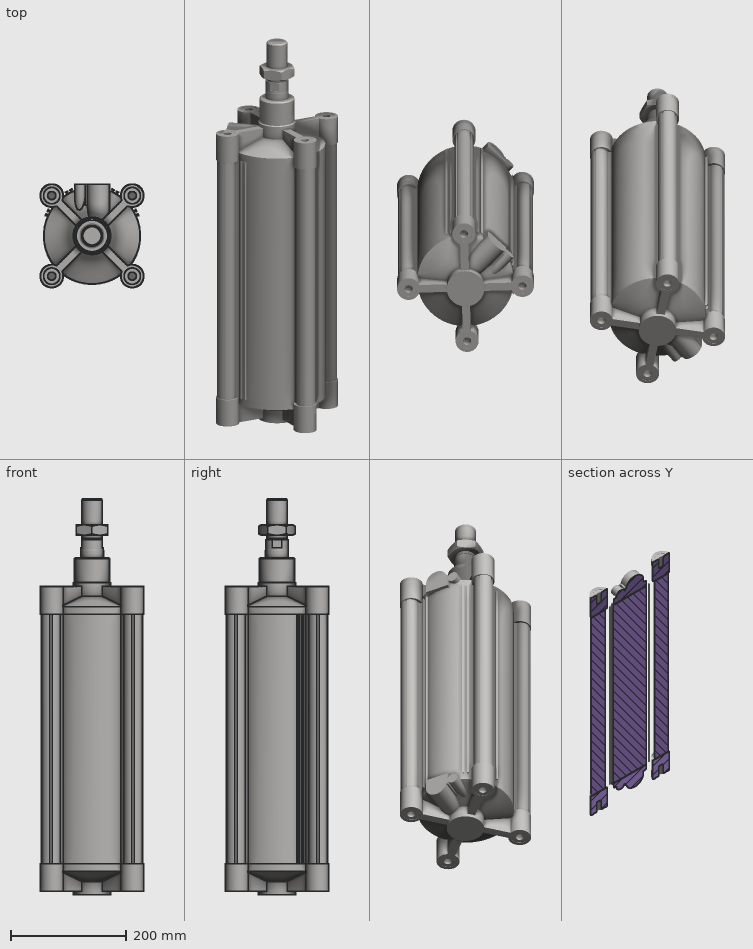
import cadquery as cq
import math


total_length = 688.0
cap_height = 48.0
rear_collar_height = 6.0
barrel_bottom = rear_collar_height + cap_height
barrel_length = 434.0
barrel_top = barrel_bottom + barrel_length

overall_width = 180.0
post_diameter = 40.0
post_offset = (overall_width - post_diameter) / 2
body_diameter = 168.0
collar_diameter = 65.0
rim_height = 13.0
cone_height = 18.0
rib_width = 14.0
post_recess_diameter = 28.5
post_recess_depth = 0.5
post_hole_diameter = 14.0
post_hole_depth = 24.0
front_collar_height = 6.0
collar_step = 1.5
neck_diameter = 61.0
neck_top = 586.0
neck_chamfer = 2.0

port_diameter = 39.5
port_x = 11.0
screw_boss_diameter = 19.0
screw_boss_x = -20.8
screw_boss_height = 15.5
block_right = 31.0
block_height = 23.4
boss_end = overall_width / 2

barrel_post_diameter = 33.0
barrel_post_offset = 71.5
barrel_web_width = 24.0
groove_width = 4.2
groove_depth = 1.5
rail_angles = [27.3, 62.7, 117.3, 152.7]
rail_radius = 88.5
rail_spacing = 8.4
rail_stem_width = 1.0
rail_head_width = 4.0
rail_head_thickness = 1.0

rod_diameter = 40.0
rod_land_diameter = 39.5
thread_diameter = 36.0
undercut_diameter = 32.5
rod_shoulder = 598.0
shoulder_chamfer = 2.0
land_top = 617.5
thread_bottom = 620.0
rod_tip_chamfer = 2.0
flat_width = 36.0
flat_bottom = 603.0
nut_bottom = 625.0
nut_height = 18.0
nut_width = 55.0
nut_chamfer_angle = 30.0
hex_half_angle = 30.0

corners = [(sx * post_offset, sy * post_offset) for sx in (-1, 1) for sy in (-1, 1)]
diagonal_angles = (45, 135)


def revolved(outline):
    """Solid of revolution about Z from (radius, height) points starting and ending on the axis."""
    return cq.Workplane("XZ").polyline(outline).close().revolve(360, (0, 0, 0), (0, 1, 0))


def y_boss(x, z, diameter):
    """Round boss from the cap axis plane out to the +Y side."""
    return cq.Workplane("XZ", origin=(x, 0, z)).circle(diameter / 2).extrude(-boss_end)


def cap_body(collar_outline):
    """Cap standing on the barrel joint at Z = 0 and facing +Z.

    The outline gives the (radius, height) points of the collar from the cone's top to the axis.
    """
    body_radius = body_diameter / 2
    collar_radius = collar_diameter / 2
    cone_top = rim_height + cone_height
    cap = revolved([
        (0, 0),
        (body_radius, 0),
        (body_radius, rim_height),
        (collar_radius, cone_top),
        *collar_outline,
    ])
    cap = cap.union(cq.Workplane().pushPoints(corners).circle(post_diameter / 2).extrude(cap_height))
    rib_length = 2 * post_offset * math.sqrt(2)
    for angle in diagonal_angles:
        rib = cq.Workplane().rect(rib_length, rib_width).extrude(cap_height)
        cap = cap.union(rib.rotate((0, 0, 0), (0, 0, 1), angle))

    cap = cap.union(y_boss(port_x, port_diameter / 2, port_diameter))
    cap = cap.union(y_boss(screw_boss_x, screw_boss_height, screw_boss_diameter))
    block_left = screw_boss_x + screw_boss_diameter / 2
    block = cq.Workplane().box(block_right - block_left, boss_end, block_height, centered=False)
    cap = cap.union(block.translate((block_left, 0, 0)))

    for diameter, depth in (
        (post_recess_diameter, post_recess_depth),
        (post_hole_diameter, post_hole_depth),
    ):
        hole = cq.Workplane(origin=(0, 0, cap_height - depth)).pushPoints(corners)
        cap = cap.cut(hole.circle(diameter / 2).extrude(depth))
    return cap


def make_rear_cap():
    collar_outline = [
        (collar_diameter / 2, barrel_bottom),
        (0, barrel_bottom),
    ]
    return cap_body(collar_outline).mirror("XY").translate((0, 0, barrel_bottom))


def make_front_cap():
    neck_radius = neck_diameter / 2
    collar_top = cap_height + front_collar_height
    neck_height = neck_top - barrel_top
    collar_outline = [
        (collar_diameter / 2, collar_top),
        (neck_radius, collar_top + collar_step),
        (neck_radius, neck_height - neck_chamfer),
        (neck_radius - neck_chamfer, neck_height),
        (0, neck_height),
    ]
    bore = cq.Workplane().circle(rod_diameter / 2).extrude(neck_height)
    return cap_body(collar_outline).cut(bore).translate((0, 0, barrel_top))


def sensor_rail(angle):
    """Pair of T-shaped strips along the barrel that form a sensor slot at the given angle about Z."""
    head_bottom = rail_radius - rail_head_thickness
    stem_length = head_bottom - barrel_post_offset
    strips = cq.Workplane().pushPoints([
        (head_bottom - stem_length / 2, -rail_spacing / 2),
        (head_bottom - stem_length / 2, rail_spacing / 2),
    ]).rect(stem_length, rail_stem_width).extrude(barrel_length)
    heads = cq.Workplane().pushPoints([
        (rail_radius - rail_head_thickness / 2, -rail_spacing / 2),
        (rail_radius - rail_head_thickness / 2, rail_spacing / 2),
    ]).rect(rail_head_thickness, rail_head_width).extrude(barrel_length)
    return strips.union(heads).rotate((0, 0, 0), (0, 0, 1), angle)


def make_barrel():
    barrel = cq.Workplane().circle(body_diameter / 2).extrude(barrel_length)
    web_length = 2 * math.sqrt(2) * barrel_post_offset
    for angle in diagonal_angles:
        web = cq.Workplane().rect(web_length, barrel_web_width).extrude(barrel_length)
        barrel = barrel.union(web.rotate((0, 0, 0), (0, 0, 1), angle))
    post_radius = barrel_post_diameter / 2
    near, far = barrel_post_offset, barrel_post_offset + post_radius
    for sx in (-1, 1):
        for sy in (-1, 1):
            post = cq.Workplane(origin=(sx * near, sy * near, 0)).circle(post_radius)
            barrel = barrel.union(post.extrude(barrel_length))
            x_groove = cq.Workplane(origin=(sx * far, sy * near, 0)).rect(2 * groove_depth, groove_width)
            y_groove = cq.Workplane(origin=(sx * near, sy * far, 0)).rect(groove_width, 2 * groove_depth)
            barrel = barrel.cut(x_groove.extrude(barrel_length))
            barrel = barrel.cut(y_groove.extrude(barrel_length))
    for angle in rail_angles:
        barrel = barrel.union(sensor_rail(angle))
    return barrel.translate((0, 0, barrel_bottom))


def make_rod():
    thread_radius = thread_diameter / 2
    rod = revolved([
        (0, barrel_top),
        (rod_diameter / 2, barrel_top),
        (rod_diameter / 2, rod_shoulder),
        (rod_land_diameter / 2, rod_shoulder + shoulder_chamfer),
        (rod_land_diameter / 2, land_top),
        (undercut_diameter / 2, land_top),
        (undercut_diameter / 2, thread_bottom),
        (thread_radius, thread_bottom),
        (thread_radius, total_length - rod_tip_chamfer),
        (thread_radius - rod_tip_chamfer, total_length),
        (0, total_length),
    ])
    flat_height = land_top - flat_bottom
    for side in (-1, 1):
        flat = cq.Workplane().box(rod_diameter, rod_diameter, flat_height, centered=(True, True, False))
        rod = rod.cut(flat.translate((side * (flat_width + rod_diameter) / 2, 0, flat_bottom)))
    return rod


def make_nut():
    corner_diameter = nut_width / math.cos(math.radians(hex_half_angle))
    nut = cq.Workplane().polygon(6, corner_diameter).extrude(nut_height)
    nut = nut.rotate((0, 0, 0), (0, 0, 1), hex_half_angle)
    corner_radius = corner_diameter / 2
    face_radius = nut_width / 2
    chamfer = (corner_radius - face_radius) * math.tan(math.radians(nut_chamfer_angle))
    envelope = revolved([
        (0, 0),
        (face_radius, 0),
        (corner_radius, chamfer),
        (corner_radius, nut_height - chamfer),
        (face_radius, nut_height),
        (0, nut_height),
    ])
    nut = nut.intersect(envelope)
    nut = nut.cut(cq.Workplane().circle(thread_diameter / 2).extrude(nut_height))
    return nut.translate((0, 0, nut_bottom))


rear_cap = make_rear_cap()
barrel = make_barrel()
front_cap = make_front_cap()
rod = make_rod()
nut = make_nut()

result = cq.Compound.makeCompound([
    rear_cap.val(),
    barrel.val(),
    front_cap.val(),
    rod.val(),
    nut.val(),
])